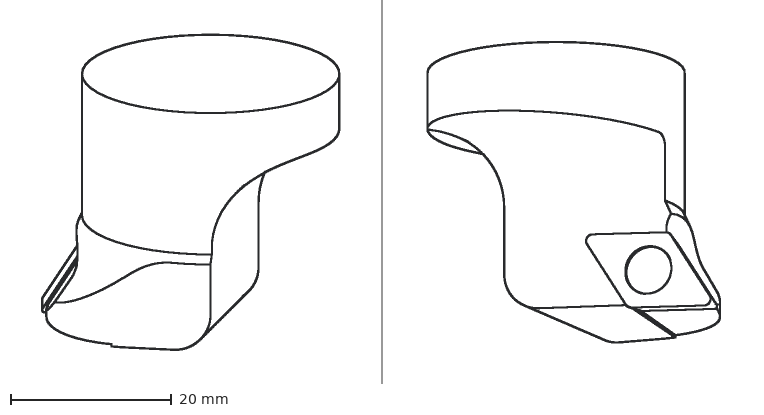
import cadquery as cq
import math

SHANK_DIAMETER = 32.0
SHANK_RADIUS = SHANK_DIAMETER / 2
SHANK_LENGTH = 18.45
OVERALL_LENGTH = 37.87
OVERALL_DEPTH = 32.3
REACH = 56.8

FLARE_ANGLE = 24.0
HEAD_RADIUS = 16.5
FLAT_START_X = -5.68
FLANK_RADIUS = 14.4
FLANK_BACK_Y = 5.68
WALL_X = 4.8
BOTTOM_ANGLE = 2.6
BOTTOM_CENTRE_Z = -30.95
HEEL_RADIUS = 4.75

UNDERSIDE_Z = -7.12
NOTCH_RADIUS = 10.6

RAKE_ANGLE = 10.2
RAKE_Y = 3.8
UNDERSIDE_ANGLE = 5.2
RAKE_ROOT_RADIUS = 1.4

INSERT_SIDE = 11.6
INSERT_THICKNESS = 3.98
INSERT_CORNER = 55.0
INSERT_TILT = 3.0
INSERT_RELIEF = 7.0
NOSE_RADIUS = 0.8
RECESS_DIAMETER = 6.05
RECESS_DEPTH = 0.4

CLEARANCE = 0.75
SCOOP_RADIUS = 3.8
SCOOP_START_Z = -24.3
BODY_NOSE_RADIUS = 0.53

RAKE = math.radians(RAKE_ANGLE)
LOWER_EDGE = math.radians(INSERT_TILT)
SIDE_EDGE = math.radians(INSERT_TILT + INSERT_CORNER)

rake_plane = cq.Plane(
    origin=(0, RAKE_Y, 0),
    xDir=(math.cos(RAKE), math.sin(RAKE), 0),
    normal=(math.sin(RAKE), -math.cos(RAKE), 0),
)


def along(point, angle, distance):
    """Point reached from another by going a distance at an angle in radians."""
    return (point[0] + distance * math.cos(angle), point[1] + distance * math.sin(angle))


def insert_tip():
    """Sharp corner whose nose round touches the -X and -Z limits of the part."""
    nose_x = (SHANK_RADIUS - OVERALL_LENGTH) / math.cos(RAKE) + NOSE_RADIUS
    nose_z = -OVERALL_DEPTH + NOSE_RADIUS
    half_corner = math.radians(INSERT_CORNER / 2)
    return along((nose_x, nose_z), LOWER_EDGE + half_corner, -NOSE_RADIUS / math.sin(half_corner))


TIP = insert_tip()


def insert_blank():
    """Rhombus with rounded corners that narrows with depth."""
    lower_end = along(TIP, LOWER_EDGE, INSERT_SIDE)
    far_corner = along(lower_end, SIDE_EDGE, INSERT_SIDE)
    side_end = along(TIP, SIDE_EDGE, INSERT_SIDE)
    rhombus = cq.Sketch().polygon([TIP, lower_end, far_corner, side_end, TIP]).vertices().fillet(NOSE_RADIUS)
    return cq.Workplane(rake_plane).placeSketch(rhombus).extrude(INSERT_THICKNESS, taper=INSERT_RELIEF)


def make_insert(blank):
    """Insert with a round recess at the middle of its rake face."""
    opposite = along(along(TIP, LOWER_EDGE, INSERT_SIDE), SIDE_EDGE, INSERT_SIDE)
    centre = ((TIP[0] + opposite[0]) / 2, (TIP[1] + opposite[1]) / 2)
    recess = (
        cq.Workplane(rake_plane)
        .center(*centre)
        .circle(RECESS_DIAMETER / 2)
        .extrude(RECESS_DEPTH)
    )
    return blank.cut(recess)


def shank():
    return cq.Workplane("XY").circle(SHANK_RADIUS).extrude(-SHANK_LENGTH)


def flared_head():
    """Cone that widens downwards, trimmed by the upright head outline."""
    head_height = OVERALL_DEPTH - SHANK_LENGTH
    base_radius = SHANK_RADIUS + head_height * math.tan(math.radians(FLARE_ANGLE))
    cone = cq.Workplane("XY").add(
        cq.Solid.makeCone(
            SHANK_RADIUS, base_radius, head_height,
            pnt=cq.Vector(0, 0, -SHANK_LENGTH), dir=cq.Vector(0, 0, -1),
        )
    )
    wall_y = -math.sqrt(HEAD_RADIUS**2 - WALL_X**2)
    mid_x = WALL_X / 2
    outline = (
        cq.Workplane("XY")
        .moveTo(WALL_X, FLANK_BACK_Y)
        .lineTo(WALL_X, wall_y)
        .threePointArc((mid_x, -math.sqrt(HEAD_RADIUS**2 - mid_x**2)), (0, -HEAD_RADIUS))
        .lineTo(FLAT_START_X, -HEAD_RADIUS)
        .radiusArc((FLAT_START_X - FLANK_RADIUS, FLANK_RADIUS - HEAD_RADIUS), FLANK_RADIUS)
        .lineTo(FLAT_START_X - FLANK_RADIUS - FLANK_BACK_Y, FLANK_BACK_Y)
        .close()
        .extrude(-OVERALL_DEPTH)
    )
    return cone.intersect(outline)


def side_profile():
    """Part seen along Y: sloping bottom, rounded heel, wall and notch arc on the +X side."""
    slope = math.tan(math.radians(BOTTOM_ANGLE))
    notch_end_x = WALL_X + NOTCH_RADIUS
    notch_centre = (notch_end_x, UNDERSIDE_Z - NOTCH_RADIUS)
    return (
        cq.Workplane("XZ")
        .moveTo(-REACH, 0)
        .lineTo(-REACH, BOTTOM_CENTRE_Z - REACH * slope)
        .lineTo(WALL_X, BOTTOM_CENTRE_Z + WALL_X * slope)
        .lineTo(*along(notch_centre, math.pi, NOTCH_RADIUS))
        .threePointArc(along(notch_centre, math.radians(135), NOTCH_RADIUS), (notch_end_x, UNDERSIDE_Z))
        .lineTo(REACH, UNDERSIDE_Z)
        .lineTo(REACH, 0)
        .close()
        .extrude(REACH, both=True)
        .edges(cq.selectors.NearestToPointSelector((WALL_X, 0, BOTTOM_CENTRE_Z)))
        .fillet(HEEL_RADIUS)
    )


def rake_cut():
    """Space in front of the rake face, below the sloping underside of the shank."""
    slope = math.tan(math.radians(UNDERSIDE_ANGLE))
    notch_end_x = WALL_X + NOTCH_RADIUS
    middle_z = UNDERSIDE_Z - notch_end_x * slope
    outline = [
        (-REACH, middle_z - REACH * slope),
        (REACH, middle_z + REACH * slope),
        (REACH, -REACH),
        (-REACH, -REACH),
    ]
    return (
        cq.Workplane(rake_plane)
        .polyline(outline)
        .close()
        .extrude(-REACH)
        .edges(cq.selectors.NearestToPointSelector((0, RAKE_Y, middle_z)))
        .fillet(RAKE_ROOT_RADIUS)
    )


def clearance_cut():
    """Prism square to the rake face, parallel to both cutting edges, with a scoop above the insert."""
    half_corner = math.radians(INSERT_CORNER / 2)
    middle = LOWER_EDGE + half_corner
    body_tip = along(TIP, middle, CLEARANCE / math.sin(half_corner))
    nose_centre = along(body_tip, middle, BODY_NOSE_RADIUS / math.sin(half_corner))
    right_angle = math.pi / 2
    nose_side = along(nose_centre, SIDE_EDGE + right_angle, BODY_NOSE_RADIUS)
    nose_middle = along(nose_centre, middle + math.pi, BODY_NOSE_RADIUS)
    nose_lower = along(nose_centre, LOWER_EDGE - right_angle, BODY_NOSE_RADIUS)
    relief_end_x = along(TIP, LOWER_EDGE, INSERT_SIDE)[0]
    relief_end = along(body_tip, LOWER_EDGE, (relief_end_x - body_tip[0]) / math.cos(LOWER_EDGE))

    scoop_start = along(body_tip, SIDE_EDGE, (SCOOP_START_Z - body_tip[1]) / math.sin(SIDE_EDGE))
    scoop_centre = along(scoop_start, SIDE_EDGE + right_angle, SCOOP_RADIUS)
    scoop_top = along(scoop_centre, right_angle, SCOOP_RADIUS)
    return (
        cq.Workplane(rake_plane)
        .moveTo(-REACH, scoop_top[1])
        .lineTo(*scoop_top)
        .threePointArc(along(scoop_centre, SIDE_EDGE / 2, SCOOP_RADIUS), scoop_start)
        .lineTo(*nose_side)
        .threePointArc(nose_middle, nose_lower)
        .lineTo(*relief_end)
        .lineTo(relief_end_x, -REACH)
        .lineTo(-REACH, -REACH)
        .close()
        .extrude(REACH / 2, both=True)
    )


def make_holder(blank):
    body = shank().union(flared_head()).intersect(side_profile())
    return body.cut(rake_cut()).cut(clearance_cut()).cut(blank)


blank = insert_blank()
holder = make_holder(blank)
insert = make_insert(blank)

result = cq.Compound.makeCompound([holder.val(), insert.val()])